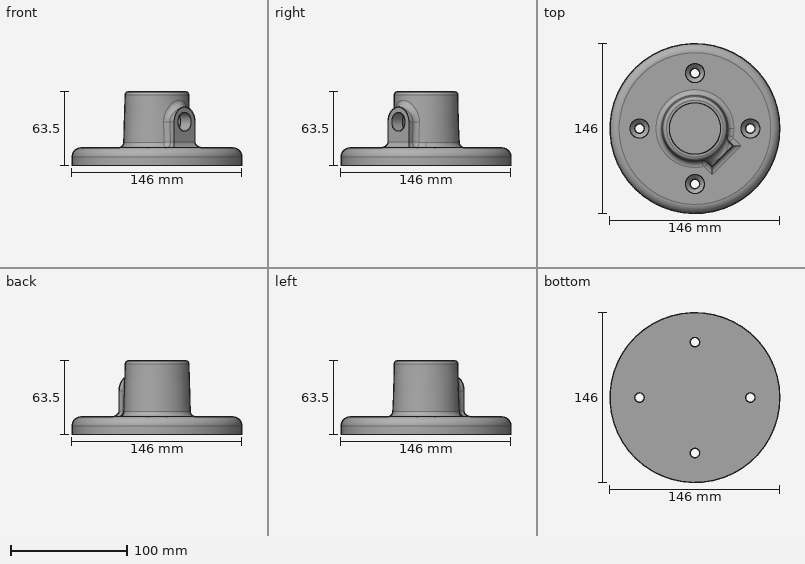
import cadquery as cq
import math

base_diameter = 146.0
base_height = 15.3
base_edge_radius = 7.9

total_height = 63.5
post_root_radius = 28.8
post_top_radius = 27.3
post_edge_radius = 3.0
bore_radius = 22.0

boss_angle = -45.0
boss_reach = 33.6
boss_half_width = 12.7
boss_axis_height = 37.5
screw_hole_diameter = 16.0

blend_radius = 4.8

junction_radius = 6.0

mount_count = 4
mount_circle_radius = 47.6
mount_hole_diameter = 7.9
countersink_diameter = 16.4
countersink_angle = 82.0


def make_base():
    plate = cq.Workplane("XY").circle(base_diameter / 2).extrude(base_height)
    return plate.faces(">Z").edges().fillet(base_edge_radius)


def make_post():
    post_height = total_height - base_height
    taper = math.degrees(math.atan2(post_root_radius - post_top_radius, post_height))
    return (
        cq.Workplane("XY", origin=(0, 0, base_height))
        .circle(post_root_radius)
        .extrude(post_height, taper=taper)
    )


def boss_plane():
    """Vertical plane through the post axis whose normal points along the boss."""
    angle = math.radians(boss_angle)
    return cq.Plane(
        origin=(0, 0, boss_axis_height),
        xDir=(-math.sin(angle), math.cos(angle), 0),
        normal=(math.cos(angle), math.sin(angle), 0),
    )


def make_boss():
    foot = base_height - boss_axis_height
    return (
        cq.Workplane(boss_plane())
        .moveTo(-boss_half_width, foot)
        .lineTo(boss_half_width, foot)
        .lineTo(boss_half_width, 0)
        .threePointArc((0, boss_half_width), (-boss_half_width, 0))
        .close()
        .extrude(boss_reach)
    )


def is_boss_junction(edge):
    """True for edges where the boss side meets the post wall."""
    center = edge.Center()
    bounds = edge.BoundingBox()
    radius = math.hypot(center.x, center.y)
    return bounds.zmax > base_height + blend_radius and radius < post_root_radius + 0.7


def make_upright():
    """Post and boss joined, with the junction between them blended."""
    upright = make_post().union(make_boss())
    below_rim = total_height - post_edge_radius
    junction = [
        edge for edge in upright.edges().vals()
        if is_boss_junction(edge)
        and edge.BoundingBox().zmax < below_rim
    ]
    return upright.newObject(junction).fillet(junction_radius)


def blend_foot(body):
    """Fillet the foot of the post and boss into the base plate."""
    outer_limit = base_diameter / 2 - base_edge_radius - 1.5
    foot = [
        edge for edge in body.edges().vals()
        if abs(edge.BoundingBox().zmin - base_height) < 0.01
        and edge.BoundingBox().zlen < 0.01
        and edge.BoundingBox().xmax < outer_limit
    ]
    return body.newObject(foot).fillet(blend_radius)


body = blend_foot(make_base().union(make_upright()))
body = body.faces(">Z").edges().fillet(post_edge_radius)

body = body.cut(
    cq.Workplane("XY", origin=(0, 0, base_height)).circle(bore_radius).extrude(total_height)
)

body = body.cut(cq.Workplane(boss_plane()).circle(screw_hole_diameter / 2).extrude(boss_reach))

result = (
    body.copyWorkplane(cq.Workplane("XY", origin=(0, 0, base_height)))
    .polarArray(mount_circle_radius, 0, 360, mount_count)
    .cskHole(mount_hole_diameter, countersink_diameter, countersink_angle)
)